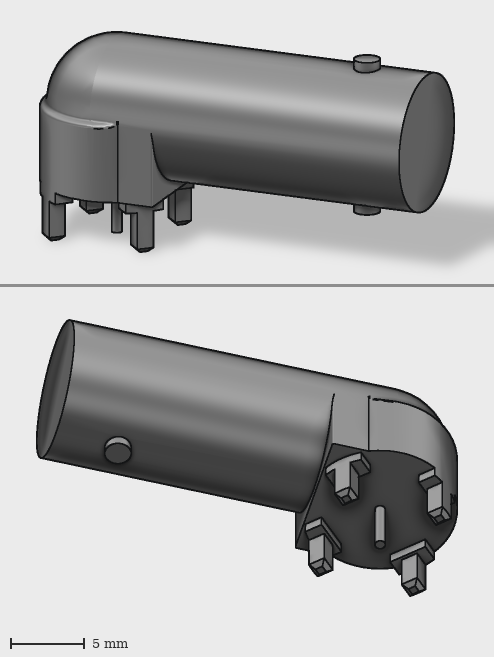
import cadquery as cq
import math

overall_length = 28.15
overall_height = 14.65

barrel_diameter = 9.6
barrel_radius = barrel_diameter / 2
drum_diameter = 10.5
drum_radius = drum_diameter / 2
barrel_length = overall_length - drum_radius

base_depth = 5.5
base_front = 4.67
front_corner_radius = 0.15

rim_radius = 0.3
rim_loft_stations = (0.0, 0.55, 1.13, 1.55, 1.85, 2.05)
cutter_margin = 0.15

lug_diameter = 1.8
lug_reach = 5.43
lug_x = 18.5

leg_bottom = overall_height - lug_reach
foot_bottom = 6.28
foot_width = 2.75
foot_inner_distance = 3.8
leg_width = 1.2
leg_inner_distance = 4.03
leg_tip_chamfer = 0.35
post_count = 4
first_post_angle = 45

pin_diameter = 0.7

concave_centre = (math.sqrt((barrel_radius + rim_radius) ** 2 - rim_radius**2), rim_radius)
contact_scale = barrel_radius / (barrel_radius + rim_radius)
elbow_contact = (concave_centre[0] * contact_scale, concave_centre[1] * contact_scale)


def make_cylinder(radius, bottom, top):
    """Upright cylinder on the drum axis."""
    return cq.Workplane("XY").workplane(offset=bottom).circle(radius).extrude(top - bottom)


def make_elbow():
    dome = cq.Workplane("XY").sphere(barrel_radius)
    barrel = cq.Workplane("YZ").circle(barrel_radius).extrude(barrel_length)
    lugs = (
        cq.Workplane("XY").center(lug_x, 0).circle(lug_diameter / 2).extrude(lug_reach, both=True)
    )
    return dome.union(barrel).union(lugs)


def arc_middle(centre, start, end):
    """Middle of the short rim arc between two points around a centre."""
    across = start[0] + end[0] - 2 * centre[0]
    up = start[1] + end[1] - 2 * centre[1]
    scale = rim_radius / math.hypot(across, up)
    return (centre[0] + across * scale, centre[1] + up * scale)


def add_rim_section(plane, wall):
    """Section of the space outside the rim blend, where the drum wall is at this distance."""
    convex_across = wall - rim_radius
    centre_drop = math.sqrt((2 * rim_radius) ** 2 - (concave_centre[0] - convex_across) ** 2)
    convex_centre = (convex_across, concave_centre[1] - centre_drop)
    junction = (
        (concave_centre[0] + convex_centre[0]) / 2,
        (concave_centre[1] + convex_centre[1]) / 2,
    )
    wall_contact = (wall, convex_centre[1])
    outside = drum_radius + cutter_margin
    above = elbow_contact[1] + cutter_margin
    return (
        plane.moveTo(*elbow_contact)
        .threePointArc(arc_middle(concave_centre, elbow_contact, junction), junction)
        .threePointArc(arc_middle(convex_centre, junction, wall_contact), wall_contact)
        .lineTo(outside, wall_contact[1])
        .lineTo(outside, above)
        .lineTo(elbow_contact[0], above)
        .close()
    )


def make_dome_rim_cutter():
    """Half ring around the dome, on the side away from the barrel."""
    section = add_rim_section(cq.Workplane("YZ"), drum_radius)
    return section.revolve(180, (0, 0), (0, 1))


def make_barrel_rim_cutter():
    """Rim along the +Y flank of the barrel, shrinking as the drum wall closes in on it."""
    sections = []
    for station in rim_loft_stations:
        plane = cq.Workplane("YZ", origin=(station, 0, 0))
        wall = math.sqrt(drum_radius**2 - station**2)
        sections.append(add_rim_section(plane, wall).val())
    return cq.Workplane(cq.Solid.makeLoft(sections))


def make_base():
    drum = make_cylinder(drum_radius, -base_depth, elbow_contact[1])
    drum = drum.cut(make_dome_rim_cutter())
    flank_cutter = make_barrel_rim_cutter()
    drum = drum.cut(flank_cutter).cut(flank_cutter.mirror("XZ"))

    beyond_front = (
        cq.Workplane("YZ", origin=(base_front, 0, 0))
        .rect(drum_diameter, 4 * base_depth)
        .extrude(drum_radius)
    )
    block = (
        cq.Workplane("XY")
        .box(base_front, barrel_diameter, base_depth, centered=(False, True, False))
        .translate((0, 0, -base_depth))
        .edges("|Z and >X")
        .fillet(front_corner_radius)
    )
    return drum.cut(beyond_front).union(block)


def make_post(inner_distance, width, bottom):
    """Post under the drum, flat inside and flush with the drum wall outside."""
    height = bottom - base_depth
    bar = (
        cq.Workplane("XY")
        .box(drum_radius, width, height, centered=(False, True, False))
        .translate((inner_distance, 0, -bottom))
    )
    return bar.intersect(make_cylinder(drum_radius, -bottom, -base_depth))


def make_housing():
    housing = make_elbow().union(make_base())
    foot = make_post(foot_inner_distance, foot_width, foot_bottom)
    leg = make_post(leg_inner_distance, leg_width, leg_bottom).faces("<Z").chamfer(leg_tip_chamfer)
    stepped_leg = foot.union(leg)
    for index in range(post_count):
        angle = first_post_angle + index * 360 / post_count
        housing = housing.union(stepped_leg.rotate((0, 0, 0), (0, 0, 1), angle))
    return housing


def make_contact_pin():
    return make_cylinder(pin_diameter / 2, -leg_bottom, -base_depth)


housing = make_housing()
contact_pin = make_contact_pin()

result = cq.Compound.makeCompound([housing.val(), contact_pin.val()])